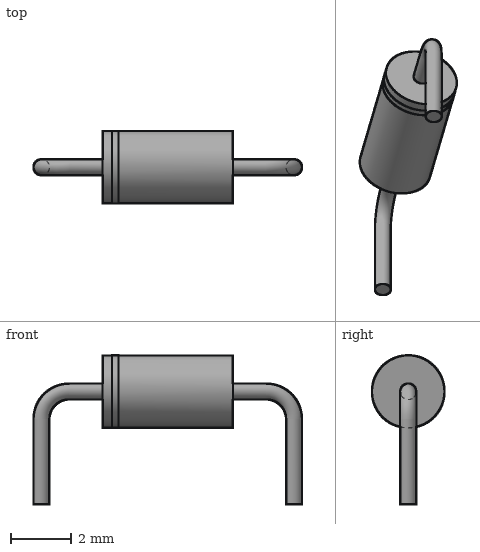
import cadquery as cq

overall_length = 8.92
overall_height = 4.95

body_diameter = 2.41
body_length = 4.33

band_diameter = 2.42
band_width = 0.22
band_end_offset = 0.31

lead_diameter = 0.535
bend_radius = 0.92

body_end = body_length / 2
lead_x = (overall_length - lead_diameter) / 2
lead_tip_z = band_diameter / 2 - overall_height


def make_body():
    """Plain cylinder centred on the origin."""
    return cq.Workplane("YZ", origin=(-body_end, 0, 0)).circle(body_diameter / 2).extrude(body_length)


def make_band():
    """Thin sleeve that fits closely around the body."""
    band_start = band_end_offset - body_end
    return (
        cq.Workplane("YZ", origin=(band_start, 0, 0))
        .circle(band_diameter / 2)
        .circle(body_diameter / 2)
        .extrude(band_width)
    )


def make_lead(side):
    """Wire that leaves one end face of the body and bends down; side is -1 or +1 along X."""
    bend_start_x = side * (lead_x - bend_radius)
    path = (
        cq.Workplane("XZ")
        .moveTo(side * body_end, 0)
        .lineTo(bend_start_x, 0)
        .tangentArcPoint((side * lead_x, -bend_radius), relative=False)
        .lineTo(side * lead_x, lead_tip_z)
    )
    section = cq.Workplane("YZ", origin=(side * body_end, 0, 0)).circle(lead_diameter / 2)
    return section.sweep(path)


body = make_body()
band = make_band()
leads = [make_lead(side) for side in (-1, 1)]

result = cq.Compound.makeCompound([body.val(), band.val(), *[lead.val() for lead in leads]])